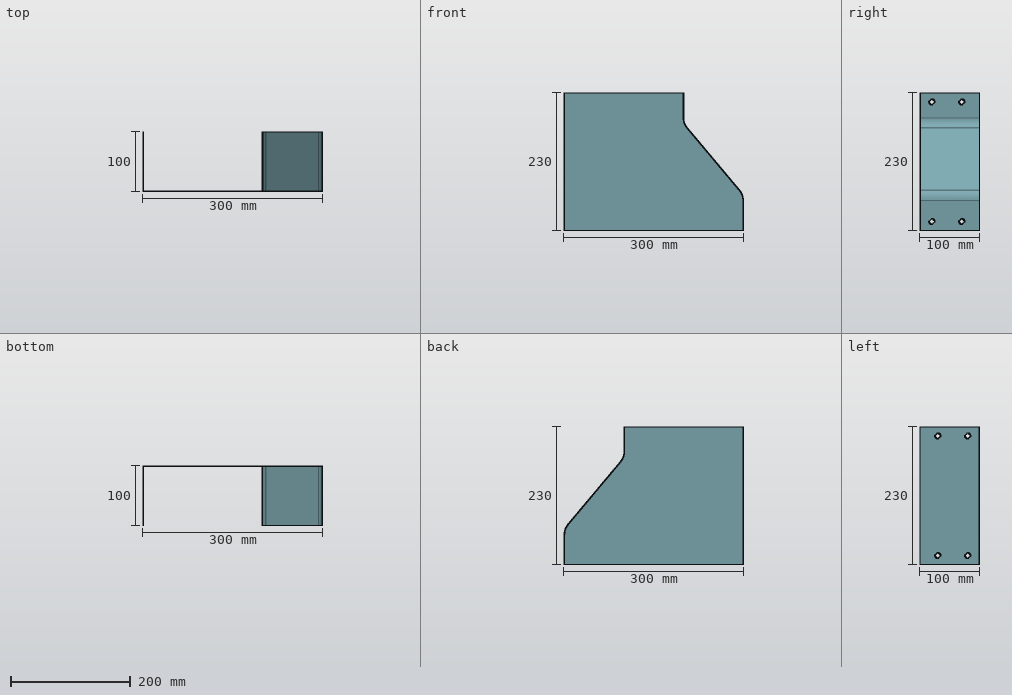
import cadquery as cq

length = 300.0
depth = 100.0
height = 230.0
sheet = 1.0

upper_length = 200.0
lower_wall_height = 60.0
upper_wall_height = 51.0
lower_bend_radius = 27.0
upper_bend_radius = 24.0

slot_length = 10.5
slot_width = 7.0
slot_tilt = 45.0
slot_edge_offset = 15.0
slot_pitch = 50.0
slot_center_y = 45.0
cut_depth = 10 * sheet


def side_profile():
    """Solid block with the stepped outline of the front plate."""
    shoulder_z = height - upper_wall_height
    blank = (
        cq.Workplane("XZ")
        .polyline([
            (0, 0),
            (length, 0),
            (length, lower_wall_height),
            (upper_length, shoulder_z),
            (upper_length, height),
            (0, height),
        ])
        .close()
        .extrude(-depth)
    )
    lower_bend = cq.selectors.NearestToPointSelector((length, depth / 2, lower_wall_height))
    upper_bend = cq.selectors.NearestToPointSelector((upper_length, depth / 2, shoulder_z))
    rounded = blank.edges("|Y").edges(lower_bend).fillet(lower_bend_radius)
    return rounded.edges("|Y").edges(upper_bend).fillet(upper_bend_radius)


def folded_shell():
    """Front plate with both side flanges; top, bottom and back are open."""
    return side_profile().faces(">Y or <Z or >Z").shell(-sheet)


def slot_cutter(flange_x, y, z, tilt):
    """Round hole narrowed by two parallel flats, cut along X through one flange."""
    plane = cq.Workplane("YZ", origin=(flange_x - cut_depth / 2, y, z))
    disc = plane.circle(slot_length / 2).extrude(cut_depth)
    flats = plane.transformed(rotate=(0, 0, tilt)).rect(slot_length, slot_width).extrude(cut_depth)
    return disc.intersect(flats)


result = folded_shell()
low_z = slot_edge_offset
high_z = height - slot_edge_offset
flange_slots = [
    (0, low_z, -slot_tilt),
    (0, high_z, -slot_tilt),
    (length, low_z, slot_tilt),
    (upper_length, high_z, slot_tilt),
]
for flange_x, slot_z, tilt in flange_slots:
    for side in (-1, 1):
        slot_y = slot_center_y + side * slot_pitch / 2
        result = result.cut(slot_cutter(flange_x, slot_y, slot_z, tilt))